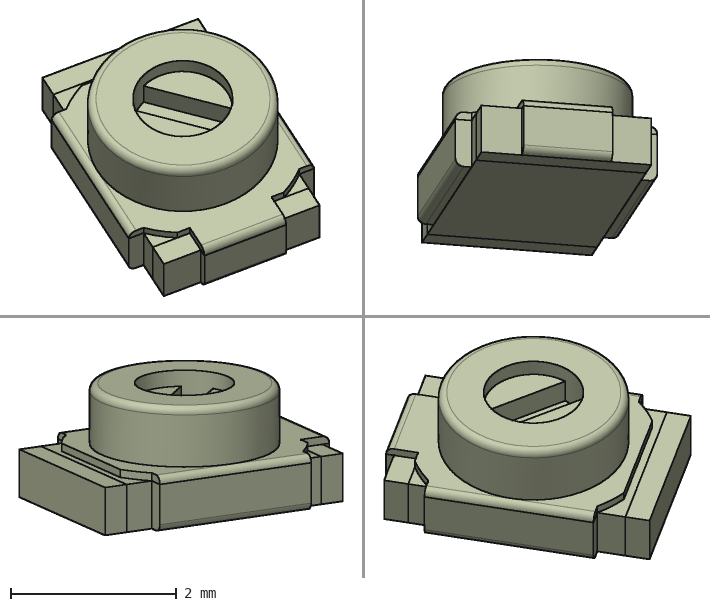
import cadquery as cq
import math

LENGTH = 3.4
WIDTH = 2.5
HEIGHT = 1.45
SHEET = 0.1
BASE_HEIGHT = 0.6
BASE_WIDTH = 2.1
SIDE_WALL_LENGTH = 2.1
COVER_LENGTH = 2.6
LEFT_TERMINAL = 0.3
TAB_WIDTH = 1.1
KNOB_RADIUS = 1.15
BORE_RADIUS = 0.602
ROTOR_DEPTH = 0.2
SLOT_WIDTH = 0.4
SLOT_DEPTH = 0.3
SLOT_ANGLE = 45.0

LEFT_END = -LENGTH / 2
TAB_END = LENGTH / 2
RIGHT_END = TAB_END - SHEET
BASE_LEFT = LEFT_END + LEFT_TERMINAL
BASE_RIGHT = COVER_LENGTH / 2
COVER_TOP = BASE_HEIGHT + SHEET
SIDE_WALL_THICKNESS = (WIDTH - BASE_WIDTH) / 2
KNOB_HEIGHT = HEIGHT - COVER_TOP
ROTOR_HEIGHT = KNOB_HEIGHT - ROTOR_DEPTH


def base_height_block(x_start, x_end, y_width):
    """Block standing on Z = 0, as high as the base and centred in Y."""
    return (
        cq.Workplane("XY")
        .box(x_end - x_start, y_width, BASE_HEIGHT, centered=(False, True, False))
        .translate((x_start, 0, 0))
    )


def make_side_wall(side):
    """Wall beside the base, rounded along its lower outer edge; side is -1 or +1 in Y."""
    outer_edge = ">Y" if side > 0 else "<Y"
    y_center = side * (BASE_WIDTH + SIDE_WALL_THICKNESS) / 2
    return (
        cq.Workplane("XY")
        .box(SIDE_WALL_LENGTH, SIDE_WALL_THICKNESS, BASE_HEIGHT, centered=(True, True, False))
        .translate((0, y_center, 0))
        .faces(outer_edge).edges("<Z").fillet(SHEET)
    )


def make_tab_leg():
    """Leg under the cover tab: its lower outer edge is a quarter round of the sheet thickness."""
    arc_middle = SHEET * math.sin(math.radians(45))
    return (
        cq.Workplane("XZ", origin=(0, TAB_WIDTH / 2, 0))
        .moveTo(RIGHT_END, 0)
        .threePointArc((RIGHT_END + arc_middle, SHEET - arc_middle), (TAB_END, SHEET))
        .lineTo(TAB_END, BASE_HEIGHT)
        .lineTo(RIGHT_END, BASE_HEIGHT)
        .close()
        .extrude(TAB_WIDTH)
    )


def make_cover():
    """Sheet with round corners cut by a circle, two rounded side edges and a rounded tab."""
    blank_thickness = 2 * SHEET
    blank_center = COVER_TOP - SHEET
    corner_radius = math.hypot(SIDE_WALL_LENGTH / 2, BASE_WIDTH / 2)

    center = (
        cq.Workplane("XY")
        .box(COVER_LENGTH, BASE_WIDTH, blank_thickness)
        .intersect(cq.Workplane("XY").circle(corner_radius).extrude(blank_thickness, both=True))
    )
    side_strip = (
        cq.Workplane("XY")
        .box(SIDE_WALL_LENGTH, WIDTH, blank_thickness)
        .edges("|X and >Z").fillet(SHEET)
    )
    tab = (
        cq.Workplane("XY")
        .box(TAB_END, TAB_WIDTH, blank_thickness, centered=(False, True, True))
        .edges(">X and >Z").fillet(SHEET)
    )
    trim = (
        cq.Workplane("XY")
        .box(LENGTH, WIDTH, SHEET, centered=(True, True, False))
        .translate((0, 0, BASE_HEIGHT))
    )
    blank = center.union(side_strip).union(tab).translate((0, 0, blank_center))
    return blank.intersect(trim)


def make_knob():
    """Ring on the cover with a rounded upper rim and a through bore for the rotor."""
    return (
        cq.Workplane("XY", origin=(0, 0, COVER_TOP))
        .circle(KNOB_RADIUS)
        .extrude(KNOB_HEIGHT)
        .edges(">Z").fillet(SHEET)
        .cut(cq.Workplane("XY").circle(BORE_RADIUS).extrude(HEIGHT))
    )


def make_rotor():
    """Disc filling the lower bore, with a diagonal screwdriver slot right across it."""
    slot = (
        cq.Workplane("XY")
        .box(2 * KNOB_RADIUS, SLOT_WIDTH, SLOT_DEPTH, centered=(True, True, False))
        .rotate((0, 0, 0), (0, 0, 1), SLOT_ANGLE)
        .translate((0, 0, COVER_TOP + ROTOR_HEIGHT - SLOT_DEPTH))
    )
    disc = cq.Workplane("XY", origin=(0, 0, COVER_TOP)).circle(BORE_RADIUS).extrude(ROTOR_HEIGHT)
    return disc.cut(slot)


base = base_height_block(BASE_LEFT, BASE_RIGHT, BASE_WIDTH)
left_terminal = base_height_block(LEFT_END, BASE_LEFT, BASE_WIDTH)
right_terminal = base_height_block(BASE_RIGHT, RIGHT_END, BASE_WIDTH)
side_walls = [make_side_wall(side) for side in (-1, 1)]
tab_leg = make_tab_leg()
cover = make_cover()
knob = make_knob()
rotor = make_rotor()

result = cq.Compound.makeCompound([
    base.val(),
    left_terminal.val(),
    right_terminal.val(),
    *[wall.val() for wall in side_walls],
    tab_leg.val(),
    *cover.vals(),
    knob.val(),
    rotor.val(),
])